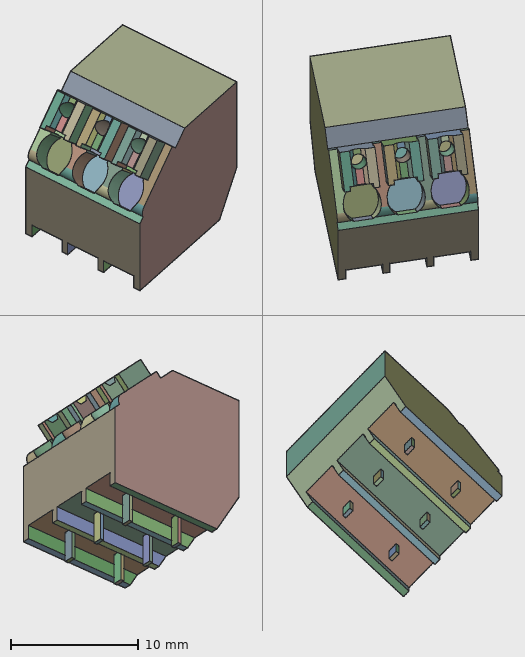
import cadquery as cq
import math


overall_height = 14.66
width = 11.2
depth = 12.7
pole_count = 3
pole_pitch = 3.5
pole_xs = [(i - (pole_count - 1) / 2) * pole_pitch for i in range(pole_count)]

housing_height = 12.92
front_height = 7.04
slope_top_length = 1.72
step_rise = 0.62
step_length = 5.98
step_nose_radius = 0.85
rear_chamfer_depth = 2.26
rear_chamfer_height = rear_chamfer_depth * math.tan(math.radians(60))

foot_slot_width = 2.95
foot_slot_height = 1.23

wire_hole_width = 3.0
wire_hole_length = 3.34
wire_hole_position = 4.63
wire_hole_end = 6.07
wire_hole_depth = 1.9
wire_throat_width = 2.05

button_width = 2.81
button_length = 3.21
button_rise = 1.47
notch_width = 1.86
notch_length = 0.35
notch_depth = 1.77
groove_top_width = 1.23
groove_floor_width = 0.62
groove_depth = 0.43
tool_hole_diameter = 1.2
tool_hole_position = 1.03
tool_hole_depth = 1.9

pin_width = 0.8
pin_thickness = 0.31
pin_row_ys = [3.02, 8.03]

v45 = math.sqrt(0.5)
valley_y = housing_height - front_height - slope_top_length * v45
valley_z = valley_y + front_height
step_top_y = valley_y - step_rise * v45
step_top_z = valley_z + step_rise * v45

button_top_z = step_top_z + button_rise * v45
pin_tip_z = button_top_z - overall_height


def face_plane(x):
    """Raised face of one pole: origin on its upper edge, local Y up the slope, Z outwards."""
    return cq.Workplane(cq.Plane(origin=(x, step_top_y, step_top_z), xDir=(1, 0, 0), normal=(0, -1, 1)))


def face_box(x, box_width, upper, lower, bottom, top):
    """Box on the raised face, from `upper` to `lower` down the slope and `bottom` to `top` outwards."""
    return (
        face_plane(x)
        .workplane(offset=bottom)
        .center(0, -(upper + lower) / 2)
        .rect(box_width, lower - upper)
        .extrude(top - bottom)
    )


def slope_point(along, outward):
    """Y and Z of a point `along` the slope from the step's upper edge and `outward` of its face."""
    return (step_top_y - (along + outward) * v45, step_top_z - (along - outward) * v45)


def button_space(x):
    """Block that one button fills, and the pocket for it in the housing."""
    return face_box(x, button_width, 0, button_length, -wire_hole_depth, button_rise)


def wire_hole(x):
    """Oval blind hole with a flat lower wall and a straight throat up to the button."""
    oval = (
        face_plane(x)
        .workplane(offset=-wire_hole_depth)
        .center(0, -wire_hole_position)
        .ellipse(wire_hole_width / 2, wire_hole_length / 2)
        .extrude(wire_hole_depth)
    )
    limit = face_box(x, wire_hole_width, button_length, wire_hole_end, -wire_hole_depth, 0)
    throat = face_box(x, wire_throat_width, button_length, wire_hole_position, -wire_hole_depth, 0)
    return oval.intersect(limit).union(throat)


def make_housing():
    nose_run = math.sqrt(step_nose_radius**2 - (step_nose_radius - step_rise) ** 2)
    nose_start = step_length - nose_run
    half_angle = math.asin(nose_run / step_nose_radius) / 2
    nose_middle = slope_point(
        nose_start + step_nose_radius * math.sin(half_angle),
        step_nose_radius * (math.cos(half_angle) - 1),
    )
    body = (
        cq.Workplane("YZ")
        .moveTo(0, 0)
        .lineTo(depth - rear_chamfer_depth, 0)
        .lineTo(depth, rear_chamfer_height)
        .lineTo(depth, housing_height)
        .lineTo(housing_height - front_height, housing_height)
        .lineTo(valley_y, valley_z)
        .lineTo(step_top_y, step_top_z)
        .lineTo(*slope_point(nose_start, 0))
        .threePointArc(nose_middle, slope_point(step_length, -step_rise))
        .lineTo(0, front_height)
        .close()
        .extrude(width / 2, both=True)
    )
    for x in pole_xs:
        foot_slot = (
            cq.Workplane("XY")
            .center(x, depth / 2)
            .rect(foot_slot_width, depth)
            .extrude(foot_slot_height)
        )
        body = body.cut(foot_slot).cut(button_space(x)).cut(wire_hole(x))
    return body


def make_button(x):
    notch = face_box(
        x, notch_width, button_length - notch_length, button_length, button_rise - notch_depth, button_rise
    )
    groove_floor = button_rise - groove_depth
    groove = (
        cq.Workplane(cq.Plane(origin=(x, step_top_y, step_top_z), xDir=(1, 0, 0), normal=(0, -1, -1)))
        .moveTo(-groove_top_width / 2, button_rise)
        .lineTo(groove_top_width / 2, button_rise)
        .lineTo(groove_floor_width / 2, groove_floor)
        .lineTo(-groove_floor_width / 2, groove_floor)
        .close()
        .extrude(button_length)
    )
    tool_hole = (
        face_plane(x)
        .workplane(offset=groove_floor - tool_hole_depth)
        .center(0, -tool_hole_position)
        .circle(tool_hole_diameter / 2)
        .extrude(tool_hole_depth + groove_depth)
    )
    return button_space(x).cut(notch).cut(groove).cut(tool_hole)


def make_pin(x, y):
    """Flat pin hanging from the roof of a foot slot."""
    return (
        cq.Workplane("XY", origin=(x, y, pin_tip_z))
        .rect(pin_width, pin_thickness)
        .extrude(foot_slot_height - pin_tip_z)
    )


housing = make_housing()
buttons = [make_button(x) for x in pole_xs]
pins = [make_pin(x, y) for x in pole_xs for y in pin_row_ys]

result = cq.Compound.makeCompound([body.solids().val() for body in [housing, *buttons, *pins]])